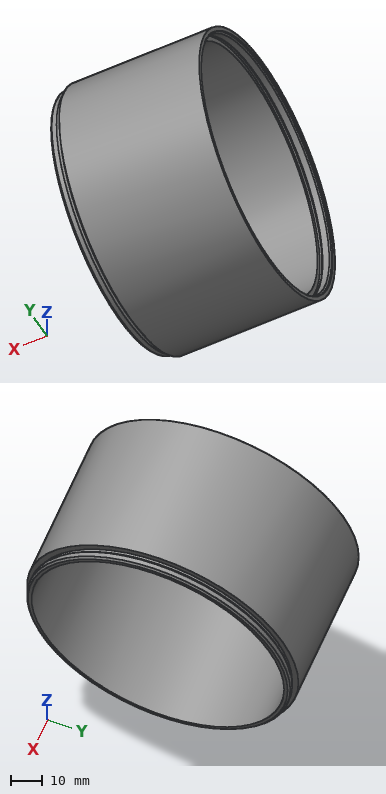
import cadquery as cq

length = 53.9
outer_diameter = 93.0
bore_diameter = 86.5

spigot_length = 4.0
spigot_diameter = 90.2
groove_diameter = 88.7
groove_width = 0.9
spigot_chamfer = 0.65

socket_depth = 4.65
socket_diameter = 89.0
socket_mouth_diameter = 90.0
mouth_depth = 0.6
relief_diameter = 90.0
relief_width = 0.7

shoulder_x = length - spigot_length
groove_end_x = shoulder_x + groove_width
groove_flank = (spigot_diameter - groove_diameter) / 2
mouth_chamfer = (socket_mouth_diameter - socket_diameter) / 2
relief_x = socket_depth - relief_width
relief_flank = (relief_diameter - socket_diameter) / 2


def revolve_profile(points):
    """Revolve an (axial position, radius) profile about the X axis."""
    return cq.Workplane("XY").polyline(points).close().revolve(360, (0, 0, 0), (1, 0, 0))


body = revolve_profile([
    (0, 0),
    (0, outer_diameter / 2),
    (shoulder_x, outer_diameter / 2),
    (shoulder_x, groove_diameter / 2),
    (groove_end_x, groove_diameter / 2),
    (groove_end_x + groove_flank, spigot_diameter / 2),
    (length - spigot_chamfer, spigot_diameter / 2),
    (length, spigot_diameter / 2 - spigot_chamfer),
    (length, 0),
])

cavity = revolve_profile([
    (0, 0),
    (0, socket_mouth_diameter / 2),
    (mouth_depth, socket_mouth_diameter / 2),
    (mouth_depth + mouth_chamfer, socket_diameter / 2),
    (relief_x - relief_flank, socket_diameter / 2),
    (relief_x, relief_diameter / 2),
    (socket_depth, relief_diameter / 2),
    (socket_depth, bore_diameter / 2),
    (length, bore_diameter / 2),
    (length, 0),
])

result = body.cut(cavity)